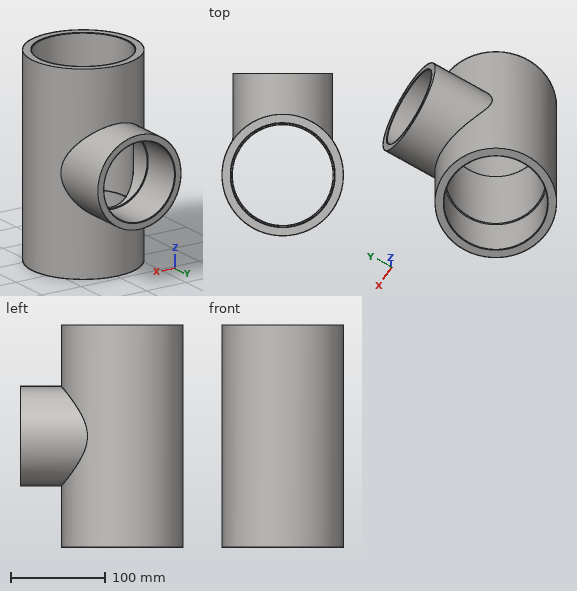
import cadquery as cq

main_length = 236.0
main_outer_diameter = 129.0
main_socket_diameter = 110.0
main_bore_diameter = 107.0
main_socket_depth = 61.0

branch_outer_diameter = 106.0
branch_socket_diameter = 90.0
branch_bore_diameter = 87.0
branch_socket_depth = 51.0
overall_width_y = 172.5
branch_reach = overall_width_y - main_outer_diameter / 2

mouth_chamfer = 0.7


def main_cylinder(diameter, start_z, length):
    """Cylinder on the main axis, rising from start_z."""
    return cq.Workplane("XY").workplane(offset=start_z).circle(diameter / 2).extrude(length)


def branch_cylinder(diameter, start_y, length):
    """Cylinder on the branch axis, running from start_y toward +Y."""
    return cq.Workplane("XZ").workplane(offset=-start_y).circle(diameter / 2).extrude(-length)


tee = main_cylinder(main_outer_diameter, -main_length / 2, main_length)
tee = tee.union(branch_cylinder(branch_outer_diameter, 0, branch_reach))

tee = tee.cut(main_cylinder(main_bore_diameter, -main_length / 2, main_length))
tee = tee.cut(branch_cylinder(branch_bore_diameter, 0, branch_reach))

for socket_start in (-main_length / 2, main_length / 2 - main_socket_depth):
    tee = tee.cut(main_cylinder(main_socket_diameter, socket_start, main_socket_depth))
branch_socket_start = branch_reach - branch_socket_depth
tee = tee.cut(branch_cylinder(branch_socket_diameter, branch_socket_start, branch_socket_depth))

for end_face in ("<Z", ">Z", ">Y"):
    mouth_edge = tee.faces(end_face).wires(cq.selectors.LengthNthSelector(0))
    tee = mouth_edge.chamfer(mouth_chamfer)

result = tee